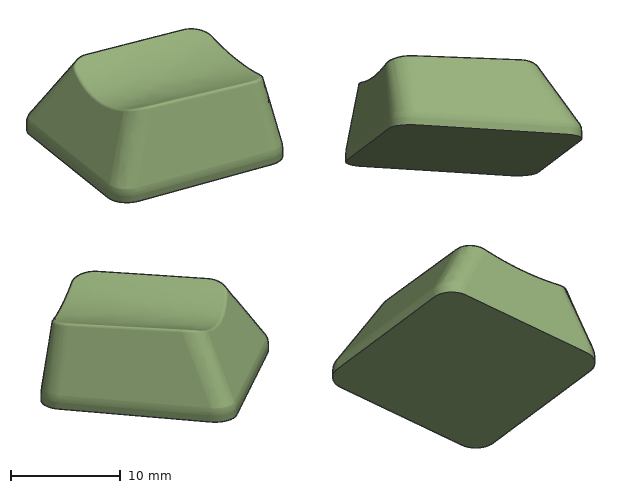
import cadquery as cq

base_side = 18.16
half_base = base_side / 2
corner_radius = 2.03
front_wall_corner_radius = 1.82
skirt_height = 0.65
shoulder_top = 1.3

side_lean = 0.487
front_lean = 0.55
back_lean = 0.08
blank_height = 8.35

dish_half_width = 7.26
front_dish_y = -6.17
front_dish_floor = 6.17
front_dish_rise = 2.27
back_dish_y = 8.54
back_dish_floor = 6.4
back_dish_rise = 1.09
dish_overrun = 1.82
cutter_top = 10.9
rim_radius = 0.29


def along_dish(front_value, back_value, y):
    """Value at y on the straight line through the front and back values."""
    fraction = (y - front_dish_y) / (back_dish_y - front_dish_y)
    return front_value + fraction * (back_value - front_value)


def lean_travel(height):
    """Inward travel per unit of lean: zero, then a parabola, then its tangent line."""
    shoulder_span = shoulder_top - skirt_height
    if height <= skirt_height:
        return 0.0
    if height < shoulder_top:
        return (height - skirt_height) ** 2 / (2 * shoulder_span)
    return height - skirt_height - shoulder_span / 2


def rounded_section(height):
    """Rounded rectangular cross-section of the body at a height."""
    travel = lean_travel(height)
    shoulder_fraction = min(1, max(0, (height - skirt_height) / (shoulder_top - skirt_height)))
    tightening = shoulder_fraction * (corner_radius - front_wall_corner_radius)
    half_width = half_base - side_lean * travel
    front = -half_base + front_lean * travel
    back = half_base - back_lean * travel
    return (
        cq.Sketch()
        .push([(0, (front + back) / 2)])
        .rect(2 * half_width, back - front)
        .reset()
        .vertices(">Y")
        .fillet(corner_radius)
        .reset()
        .vertices("<Y")
        .fillet(corner_radius - tightening)
        .moved(cq.Location(cq.Vector(0, 0, height)))
    )


def make_blank():
    """Straight skirt, curved shoulder and leaning walls."""
    shoulder_middle = (skirt_height + shoulder_top) / 2
    skirt = cq.Workplane("XY").placeSketch(rounded_section(0)).extrude(skirt_height)
    shoulder = (
        cq.Workplane("XY")
        .placeSketch(*[rounded_section(z) for z in (skirt_height, shoulder_middle, shoulder_top)])
        .loft()
    )
    walls = (
        cq.Workplane("XY")
        .placeSketch(rounded_section(shoulder_top), rounded_section(blank_height))
        .loft(ruled=True)
    )
    return skirt.union(shoulder).union(walls)


def dish_section(y):
    """Closed cutter outline whose lower side is the dish arc at y."""
    floor = along_dish(front_dish_floor, back_dish_floor, y)
    lip = floor + along_dish(front_dish_rise, back_dish_rise, y)
    arc = cq.Edge.makeThreePointArc(
        cq.Vector(-dish_half_width, y, lip),
        cq.Vector(0, y, floor),
        cq.Vector(dish_half_width, y, lip),
    )
    lid = cq.Wire.makePolygon([
        cq.Vector(dish_half_width, y, lip),
        cq.Vector(dish_half_width, y, cutter_top),
        cq.Vector(-dish_half_width, y, cutter_top),
        cq.Vector(-dish_half_width, y, lip),
    ])
    return cq.Wire.assembleEdges([arc] + lid.Edges())


def make_dish_cutter():
    """Cutter that leaves the dished top."""
    front = dish_section(front_dish_y - dish_overrun)
    back = dish_section(back_dish_y + dish_overrun)
    return cq.Workplane(cq.Solid.makeLoft([front, back], True))


def round_rim(body):
    """Soften the edge all round the dished top."""
    dish_face = body.faces(cq.selectors.NearestToPointSelector((0, 0, back_dish_floor)))
    return dish_face.edges().fillet(rim_radius)


result = round_rim(make_blank().cut(make_dish_cutter()))